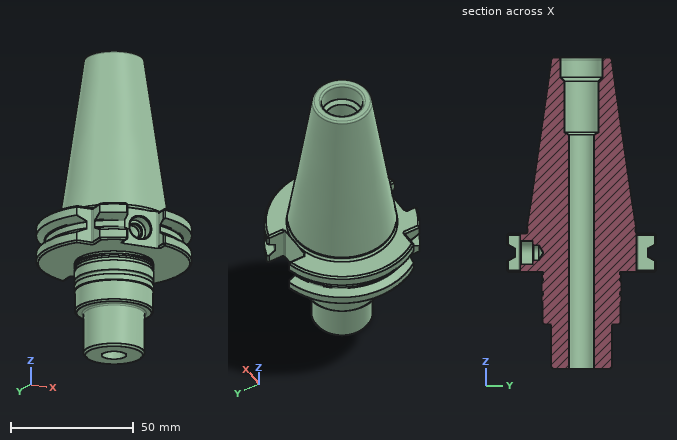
import cadquery as cq
import math

total_height = 126.8
flange_bottom = 39.4
flange_top = 55.1

gauge_height = 58.3
gauge_radius = 22.2
taper_slope = 7 / 48
taper_bottom = 57.4
taper_top_rounding = 0.9
neck_radius = 21.9
neck_bottom = 56.4
neck_flare = 0.8

tip_radius = 25.0 / 2
tip_chamfer_width = 0.8
tip_chamfer_height = 1.0
shoulder_height = 18.1
shoulder_chamfer = 0.8
shoulder_fillet = 0.6
body_radius = 32.0 / 2
band_radius = 32.5 / 2
band_step = band_radius - body_radius
lower_band_bottom = 27.1
lower_band_top = 29.9
upper_band_bottom = 31.2
upper_band_top = 35.7
collar_groove_top = 36.9
collar_bottom = 37.6
collar_top = 38.4
groove_depth = 0.3

flange_radius = 31.7
flange_chamfer = 0.8
gripper_groove_height = 47.3
gripper_floor_radius = 28.1
gripper_floor_width = 3.2
gripper_floor_fillet = 0.5
gripper_flank_angle = 30

slot_width = 16.0
front_slot_floor = 25.0
rear_slot_floor = 22.4
slot_corner_radius = 0.5
slots = ((rear_slot_floor, 1), (front_slot_floor, -1))
notch_wall = 18.6
notch_corner_radius = 0.4

side_hole_radius = 10.1 / 2
side_hole_depth = 5.1
side_hole_chamfer = 0.4
side_pilot_radius = 6.0 / 2
side_pilot_depth = 2.5

pilot_bore_radius = 17.0 / 2
pilot_bore_depth = 8.1
pilot_bore_rounding = 0.9
thread_radius = 13.8 / 2
thread_depth = 30.4
thread_mouth_angle = 90
through_radius = 10.0 / 2

drill_point_angle = 118

tolerance = 0.01


def taper_radius(height):
    return gauge_radius - (height - gauge_height) * taper_slope


def cone_length(radial_drop, included_angle):
    return radial_drop / math.tan(math.radians(included_angle / 2))


def revolve_about_axis(profile):
    return profile.close().revolve(360, (0, 0, 0), (0, 1, 0))


def make_nose():
    profile = (
        cq.Workplane("XZ")
        .moveTo(0, 0)
        .lineTo(tip_radius - tip_chamfer_width, 0)
        .lineTo(tip_radius, tip_chamfer_height)
        .lineTo(tip_radius, shoulder_height - shoulder_fillet)
        .radiusArc((tip_radius + shoulder_fillet, shoulder_height), shoulder_fillet)
        .lineTo(body_radius - shoulder_chamfer, shoulder_height)
        .lineTo(body_radius, shoulder_height + shoulder_chamfer)
        .lineTo(body_radius, lower_band_bottom - band_step / 2)
        .lineTo(band_radius, lower_band_bottom + band_step / 2)
        .lineTo(band_radius, lower_band_top - band_step)
        .lineTo(body_radius, lower_band_top)
        .threePointArc(
            (body_radius - groove_depth, (lower_band_top + upper_band_bottom) / 2),
            (body_radius, upper_band_bottom),
        )
        .lineTo(band_radius, upper_band_bottom + band_step)
        .lineTo(band_radius, upper_band_top - band_step)
        .lineTo(body_radius, upper_band_top)
        .threePointArc(
            (body_radius - groove_depth, (upper_band_top + collar_groove_top) / 2),
            (body_radius, collar_groove_top),
        )
        .lineTo(band_radius, collar_bottom)
        .lineTo(band_radius, collar_top)
        .threePointArc(
            (body_radius - groove_depth, (collar_top + flange_bottom) / 2),
            (body_radius, flange_bottom),
        )
        .lineTo(0, flange_bottom)
    )
    return revolve_about_axis(profile)


def make_taper():
    profile = (
        cq.Workplane("XZ")
        .moveTo(0, flange_top)
        .lineTo(neck_radius + neck_flare, flange_top)
        .radiusArc((neck_radius, neck_bottom), neck_bottom - flange_top)
        .lineTo(taper_radius(taper_bottom), taper_bottom)
        .lineTo(taper_radius(total_height), total_height)
        .lineTo(0, total_height)
    )
    return revolve_about_axis(profile).faces(">Z").edges().fillet(taper_top_rounding)


def slot_cutter(floor, side, top):
    """Full-height box open towards the rim; side is +1 for the rear (+Y) slot and -1 for the front."""
    depth = 2 * flange_radius
    return (
        cq.Workplane("XY", origin=(0, side * (floor + depth / 2), flange_bottom))
        .rect(slot_width, depth)
        .extrude(top - flange_bottom)
    )


def round_floor_slot_cutter(floor, side, top):
    floor_face = "<Y" if side > 0 else ">Y"
    return slot_cutter(floor, side, top).faces(floor_face).edges("|Z").fillet(slot_corner_radius)


def make_notch_cutter():
    reach = 2 * flange_radius
    corner = -notch_wall - reach / 2
    return (
        cq.Workplane("XY", origin=(corner, corner, flange_bottom))
        .rect(reach, reach)
        .extrude(flange_top - flange_bottom)
        .edges("|Z and >X and >Y")
        .fillet(notch_corner_radius)
    )


def is_slot_floor(edge):
    return edge.geomType() == "LINE" and abs(edge.Center().x) < tolerance


def make_flange():
    """Chamfered flange whose slots stop where their rounded floor corners begin."""
    flange = (
        cq.Workplane("XY", origin=(0, 0, flange_bottom))
        .circle(flange_radius)
        .extrude(flange_top - flange_bottom)
        .cut(make_notch_cutter())
    )
    for floor, side in slots:
        flange = flange.cut(slot_cutter(floor + slot_corner_radius, side, flange_top))

    slot_mouth = math.sqrt(flange_radius**2 - (slot_width / 2) ** 2)
    rims = flange.faces("<Z or >Z").edges().filter(lambda edge: not is_slot_floor(edge))
    corners = flange.edges("|Z").filter(lambda edge: abs(abs(edge.Center().y) - slot_mouth) < tolerance)
    return rims.add(corners).chamfer(flange_chamfer)


def cut_gripper_groove(flange):
    run = flange_radius - gripper_floor_radius
    half_floor = gripper_floor_width / 2
    outside = flange_radius + run
    half_mouth = half_floor + run * math.tan(math.radians(gripper_flank_angle))
    profile = (
        cq.Workplane("XZ")
        .moveTo(gripper_floor_radius, gripper_groove_height - half_floor)
        .lineTo(flange_radius, gripper_groove_height - half_mouth)
        .lineTo(outside, gripper_groove_height - half_mouth)
        .lineTo(outside, gripper_groove_height + half_mouth)
        .lineTo(flange_radius, gripper_groove_height + half_mouth)
        .lineTo(gripper_floor_radius, gripper_groove_height + half_floor)
    )
    floor_edges = cq.selectors.RadiusNthSelector(0)
    cutter = revolve_about_axis(profile).edges(floor_edges).fillet(gripper_floor_fillet)
    return flange.cut(cutter)


def make_side_hole():
    mouth = -front_slot_floor
    step = mouth + side_hole_depth
    pilot_end = step + side_pilot_depth
    profile = (
        cq.Workplane("XY")
        .moveTo(0, mouth)
        .lineTo(side_hole_radius, mouth)
        .lineTo(side_hole_radius - side_hole_chamfer, mouth + side_hole_chamfer)
        .lineTo(side_hole_radius - side_hole_chamfer, step)
        .lineTo(side_pilot_radius + side_hole_chamfer, step)
        .lineTo(side_pilot_radius, step + side_hole_chamfer)
        .lineTo(side_pilot_radius, pilot_end)
        .lineTo(0, pilot_end + cone_length(side_pilot_radius, drill_point_angle))
    )
    return revolve_about_axis(profile).translate((0, 0, gripper_groove_height))


def make_bore():
    pilot_floor = total_height - pilot_bore_depth
    thread_start = pilot_floor - cone_length(pilot_bore_radius - thread_radius, thread_mouth_angle)
    thread_end = total_height - thread_depth
    through_start = thread_end - cone_length(thread_radius - through_radius, drill_point_angle)
    profile = (
        cq.Workplane("XZ")
        .moveTo(0, 0)
        .lineTo(through_radius, 0)
        .lineTo(through_radius, through_start)
        .lineTo(thread_radius, thread_end)
        .lineTo(thread_radius, thread_start)
        .lineTo(pilot_bore_radius, pilot_floor)
        .lineTo(pilot_bore_radius, total_height - pilot_bore_rounding)
        .radiusArc((pilot_bore_radius + pilot_bore_rounding, total_height), pilot_bore_rounding)
        .lineTo(0, total_height)
    )
    return revolve_about_axis(profile)


result = make_nose().union(cut_gripper_groove(make_flange())).union(make_taper())
for floor, side in slots:
    result = result.cut(round_floor_slot_cutter(floor, side, taper_bottom))
result = result.cut(make_side_hole()).cut(make_bore())